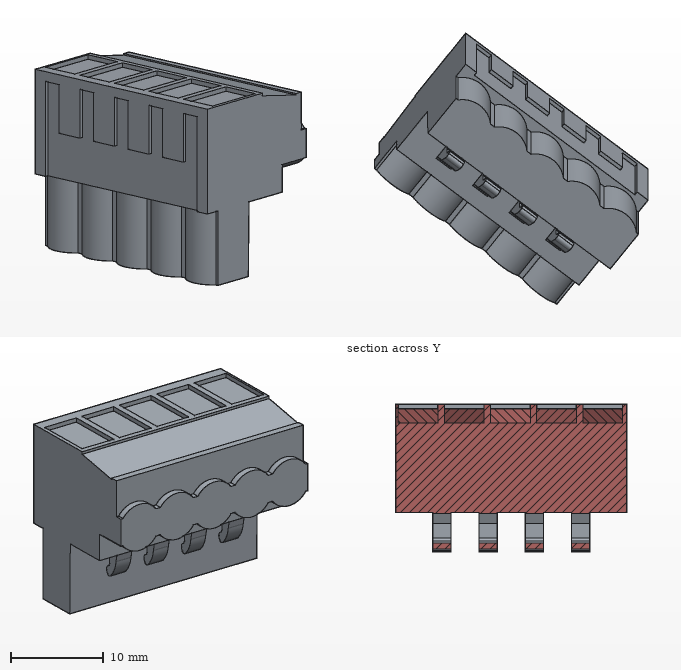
import cadquery as cq

poles = 5
pitch = 5.0
width = poles * pitch
pole_centres = [(i - (poles - 1) / 2) * pitch for i in range(poles)]
pole_gaps = [(left + right) / 2 for left, right in zip(pole_centres, pole_centres[1:])]

height = 20.1
body_bottom = 8.35
body_back = 12.17
rear_back = 16.1
rear_block_bottom = 11.46
rear_block_top = 14.7
lip_back = 15.28
lip_front = 14.4
lip_top = 18.96
slope_back_height = 18.8
slope_front = 8.96
slope_front_height = 19.8

plug_front = 1.7
plug_back_top = 6.78
plug_back_bottom = 6.67

arc_chord = 4.43
plug_arc_rise = 0.95
rear_arc_rise = 1.12

comb_depth = 0.4
comb_margin = 1.5
comb_top = 19.0
comb_tooth_bottom = 13.54
comb_tooth_width = 3.0

pocket_width = 4.25
pocket_offset = 0.28
pocket_front = 1.37
pocket_back = 8.3
insert_recess = 0.5
insert_thickness = 1.5
insert_top = height - insert_recess
pocket_floor = insert_top - insert_thickness

hook_width = 2.0
hook_back_root = (10.35, body_bottom)
hook_shoulder_middle = (10.12, 8.1)
hook_shoulder_end = (9.99, 7.7)
hook_bend_start = (9.68, 6.25)
hook_bend_middle = (9.36, 5.15)
hook_tip_back = (8.77, 4.32)
hook_tip_bottom = (8.42, 4.1)
hook_tip_front = (8.1, 4.26)
hook_barb_start = (7.93, 4.7)
hook_barb_middle = (8.03, 5.08)
hook_barb_end = (8.35, 5.3)
hook_front_low = (8.49, 5.6)
hook_front_high = (8.49, 7.2)
hook_front_root = (8.0, body_bottom)


def make_body():
    profile = cq.Workplane("YZ").polyline([
        (0, body_bottom),
        (plug_front, body_bottom),
        (plug_front, 0),
        (plug_back_bottom, 0),
        (plug_back_top, body_bottom),
        (body_back, body_bottom),
        (body_back, rear_block_bottom),
        (rear_back, rear_block_bottom),
        (rear_back, rear_block_top),
        (lip_back, rear_block_top),
        (lip_back, lip_top),
        (lip_front, lip_top),
        (lip_front, slope_back_height),
        (slope_front, slope_front_height),
        (slope_front, height),
        (0, height),
    ]).close()
    return profile.extrude(width / 2, both=True)


def arc_prism(plane, centre, base, rise, length):
    """Circular segment with its chord at base, bulging by rise, extruded along the plane's normal."""
    half = arc_chord / 2
    return (
        cq.Workplane(plane)
        .moveTo(centre - half, base)
        .threePointArc((centre, base + rise), (centre + half, base))
        .close()
        .extrude(length)
    )


def add_plug_rounds(body):
    bottom_plane = cq.Plane.XY()
    for x in pole_centres:
        body = body.union(arc_prism(bottom_plane, x, plug_front, -plug_arc_rise, body_bottom))
    return body


def add_rear_rounds(body):
    rear_plane = cq.Plane.XZ(origin=(0, rear_back, 0))
    length = rear_back - body_back
    for x in pole_centres:
        body = body.union(arc_prism(rear_plane, x, rear_block_bottom, -rear_arc_rise, length))
        body = body.union(arc_prism(rear_plane, x, rear_block_top, rear_arc_rise, length))
    return body


def add_hooks(body):
    hook = (
        cq.Workplane("YZ")
        .moveTo(*hook_back_root)
        .threePointArc(hook_shoulder_middle, hook_shoulder_end)
        .lineTo(*hook_bend_start)
        .threePointArc(hook_bend_middle, hook_tip_back)
        .threePointArc(hook_tip_bottom, hook_tip_front)
        .lineTo(*hook_barb_start)
        .threePointArc(hook_barb_middle, hook_barb_end)
        .lineTo(*hook_front_low)
        .lineTo(*hook_front_high)
        .lineTo(*hook_front_root)
        .close()
        .extrude(hook_width / 2, both=True)
    )
    for x in pole_gaps:
        body = body.union(hook.translate((x, 0, 0)))
    return body


def cut_comb(body):
    recess_width = width - 2 * comb_margin
    recess = cq.Workplane("XY").box(
        recess_width, comb_depth, comb_top - body_bottom, centered=(True, False, False)
    ).translate((0, 0, body_bottom))
    for x in pole_gaps:
        tooth = cq.Workplane("XY").box(
            comb_tooth_width, comb_depth, comb_top - comb_tooth_bottom, centered=(True, False, False)
        ).translate((x, 0, comb_tooth_bottom))
        recess = recess.cut(tooth)
    return body.cut(recess)


def pocket_block(pole_centre, bottom, top):
    """Block with the outline of one top pocket."""
    left = pole_centre - pitch / 2 + pocket_offset
    return cq.Workplane("XY").box(
        pocket_width, pocket_back - pocket_front, top - bottom, centered=False
    ).translate((left, pocket_front, bottom))


def make_housing():
    body = make_body()
    body = add_plug_rounds(body)
    body = add_rear_rounds(body)
    body = add_hooks(body)
    body = cut_comb(body)
    for x in pole_centres:
        body = body.cut(pocket_block(x, pocket_floor, height))
    return body


def make_insert(pole_centre):
    return pocket_block(pole_centre, pocket_floor, insert_top)


housing = make_housing()
inserts = [make_insert(x) for x in pole_centres]

result = cq.Compound.makeCompound([housing.val(), *[insert.val() for insert in inserts]])